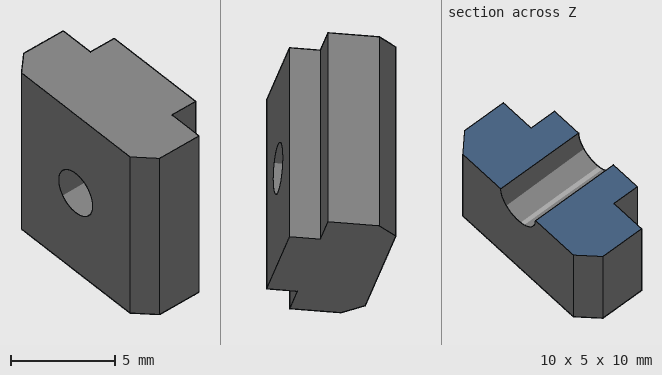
import cadquery as cq

width = 10.0
depth = 5.0
height = 10.0

neck_width = 6.0
neck_depth = 1.5
chamfer = 1.0

hole_diameter = 2.5


def make_body():
    """T-shaped profile with chamfered front corners, extruded along Z."""
    half_width = width / 2
    half_neck = neck_width / 2
    shoulder_y = depth - neck_depth
    return (
        cq.Workplane("XY")
        .moveTo(half_width - chamfer, 0)
        .lineTo(half_width, chamfer)
        .lineTo(half_width, shoulder_y)
        .lineTo(half_neck, shoulder_y)
        .lineTo(half_neck, depth)
        .lineTo(-half_neck, depth)
        .lineTo(-half_neck, shoulder_y)
        .lineTo(-half_width, shoulder_y)
        .lineTo(-half_width, chamfer)
        .lineTo(-half_width + chamfer, 0)
        .close()
        .extrude(height)
    )


def make_hole():
    """Cylinder through the full depth, centred on the front face."""
    return (
        cq.Workplane("XZ")
        .center(0, height / 2)
        .circle(hole_diameter / 2)
        .extrude(-depth)
    )


result = make_body().cut(make_hole())